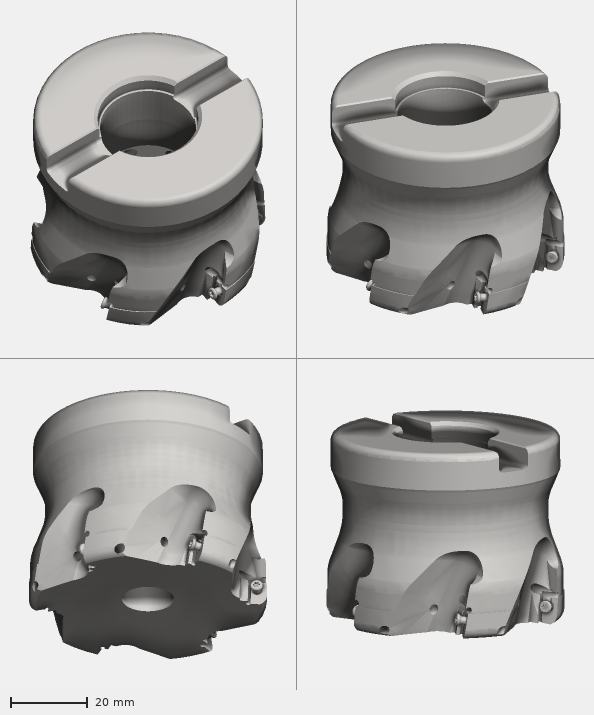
import cadquery as cq
import math


total_height = 49.2
cutting_diameter = 62.1
tip_angle = 2.7
dish_depth = 2.5
collar_radius = 30.0
collar_fillet = 2.0
collar_bottom_z = 39.65
collar_break = 0.3
collar_break_height = 0.6
upper_cone_z = 35.8
upper_cone_radius = 28.4
neck_radius = 26.9
neck_top_z = 29.65
neck_bottom_z = 27.65
lower_cone_top_z = 21.05
lower_cone_top_radius = 28.1
lower_cone_bottom_z = 14.85
lower_cone_bottom_radius = 30.4
skirt_top_z = 11.55
skirt_radius = 30.9
rim_top_z = 6.85
rim_radius = cutting_diameter / 2 / math.cos(math.radians(tip_angle))
rim_corner_z = 2.6
rim_bottom_radius = 29.3

bore_radius = 12.55
bore_chamfer = 1.0
mouth_radius = 13.2
mouth_depth = 4.4
relief_radius = 12.7
relief_top_z = 33.5
bore_floor_z = 23.0
through_radius = 6.85
through_chamfer = 0.3
slot_width = 9.45
slot_depth = 5.6
slot_fillet = 1.05
slot_edge_chamfer = 0.4

tooth_count = 6
tooth_pitch = 360 / tooth_count
flute_radius = 4.15
flute_undercut = 8.0
twist_length = 1.1
floor_corner = cq.Vector(24.2, 0, 19.8)
floor_up = cq.Vector(1.35, 7.7, 19.2)
floor_out = cq.Vector(5.6, -10.6, 0.9)
flute_length = 37.3
flute_width = 24.85
flute_depth = 24.85
touch_tolerance = 0.0005
lower_floor_out = cq.Vector(1.7, -19, 0)
wall_clearance = 0.1
wall_edge = (2.9, 17.4)
wall_turn = 28.0

seat_lean = 9.0
screw_place = (28.5, 1.8, 4.55)
seat_inner_radius = 26.2
seat_top = 3.2
seat_reach = 7.45
pocket_depth = 6.2
step_inner_radius = 24.15
step_offset = 1.55
top_groove_radius = 0.9
inner_groove_radius = 0.6
corner_relief_radius = 1.25
corner_relief_start = (-5.0, 4.8, 0.6)
corner_relief_end = (0.6, 3.7, 0.6)
shank_radius = 1.05
shank_length = 3.7
seat_bore_radius = 1.4
seat_bore_depth = 0.5
head_radius = 1.6
head_height = 2.55
head_rim = 0.6
head_cone = 0.6
head_edge = 0.25
socket_radius = 0.7
socket_lobe_radius = 0.25
socket_lobes = 6
socket_depth = 0.75

coolant_radius = 1.25
coolant_start = (11.0, -71.5, bore_floor_z)
coolant_exit = (24.4, -14.0, 6.6)
coolant_overrun = 1.85
nozzle_radius = 1.2
nozzle_place = (30.45, -38.7, 1.75)
nozzle_turn = 45.0
nozzle_depth = 7.45


def polar_point(radius, angle, height):
    turn = math.radians(angle)
    return cq.Vector(radius * math.cos(turn), radius * math.sin(turn), height)


def cylinder_between(start, end, radius):
    axis = end - start
    return cq.Workplane(cq.Solid.makeCylinder(radius, axis.Length, start, axis))


def arc_middle(start, end, start_slope):
    """Middle point of the arc that leaves `start` in the direction `start_slope`."""
    chord = (end[0] - start[0], end[1] - start[1])
    chord_angle = math.atan2(chord[1], chord[0])
    half_turn = (chord_angle - math.atan2(start_slope[1], start_slope[0])) / 2
    sagitta = math.hypot(*chord) / 2 * math.tan(half_turn)
    return (
        (start[0] + end[0]) / 2 + sagitta * math.sin(chord_angle),
        (start[1] + end[1]) / 2 - sagitta * math.cos(chord_angle),
    )


def turned_blank():
    neck_top = (neck_radius, neck_top_z)
    neck_bottom = (neck_radius, neck_bottom_z)
    upper_cone = (upper_cone_radius, upper_cone_z)
    lower_cone_top = (lower_cone_top_radius, lower_cone_top_z)
    lower_cone_bottom = (lower_cone_bottom_radius, lower_cone_bottom_z)
    skirt_top = (skirt_radius, skirt_top_z)
    rim_corner = (rim_radius, rim_corner_z)
    rim_bottom = (rim_bottom_radius, 0)
    up = (0, 1)
    down = (0, -1)
    return (
        cq.Workplane("XZ")
        .moveTo(0, dish_depth)
        .lineTo(through_radius, dish_depth)
        .lineTo(*rim_bottom)
        .threePointArc(arc_middle(rim_corner, rim_bottom, down), rim_corner)
        .lineTo(rim_radius, rim_top_z)
        .lineTo(skirt_radius, rim_top_z)
        .lineTo(*skirt_top)
        .threePointArc(arc_middle(skirt_top, lower_cone_bottom, up), lower_cone_bottom)
        .lineTo(*lower_cone_top)
        .threePointArc(arc_middle(neck_bottom, lower_cone_top, down), neck_bottom)
        .lineTo(*neck_top)
        .threePointArc(arc_middle(neck_top, upper_cone, up), upper_cone)
        .lineTo(collar_radius - collar_break, collar_bottom_z - collar_break_height)
        .lineTo(collar_radius, collar_bottom_z)
        .lineTo(collar_radius, total_height - collar_fillet)
        .radiusArc((collar_radius - collar_fillet, total_height), -collar_fillet)
        .lineTo(0, total_height)
        .close()
        .revolve(360, (0, 0), (0, 1))
    )


def bore():
    """Stepped bore with a chamfered mouth, a relief above its floor and a through hole."""
    return (
        cq.Workplane("XZ")
        .moveTo(0, 0)
        .lineTo(through_radius, 0)
        .lineTo(through_radius, bore_floor_z - through_chamfer)
        .lineTo(through_radius + through_chamfer, bore_floor_z)
        .lineTo(relief_radius, bore_floor_z)
        .lineTo(relief_radius, relief_top_z)
        .lineTo(bore_radius, relief_top_z)
        .lineTo(bore_radius, total_height - mouth_depth)
        .lineTo(mouth_radius, total_height - mouth_depth)
        .lineTo(mouth_radius, total_height - bore_chamfer)
        .lineTo(mouth_radius + bore_chamfer, total_height)
        .lineTo(0, total_height)
        .close()
        .revolve(360, (0, 0), (0, 1))
    )


def driving_slot():
    half = slot_width / 2
    floor_z = total_height - slot_depth
    return (
        cq.Workplane("XZ")
        .moveTo(-half - slot_edge_chamfer, total_height)
        .lineTo(-half, total_height - slot_edge_chamfer)
        .lineTo(-half, floor_z + slot_fillet)
        .radiusArc((-half + slot_fillet, floor_z), -slot_fillet)
        .lineTo(half - slot_fillet, floor_z)
        .radiusArc((half, floor_z + slot_fillet), -slot_fillet)
        .lineTo(half, total_height - slot_edge_chamfer)
        .lineTo(half + slot_edge_chamfer, total_height)
        .close()
        .extrude(rim_radius, both=True)
    )


def flute():
    """Slanted channel; one radius rounds its wall, upper end and corner, and its floor twists."""
    floor = cq.Plane(floor_corner, floor_up, floor_up.cross(floor_out))
    skew = floor_up.getAngle(floor_out) - math.pi / 2
    undercut = math.radians(flute_undercut)
    margin = flute_radius * math.tan((math.pi / 2 + undercut) / 2)

    def upper_end(across):
        return margin / math.cos(skew) - across * math.tan(skew)

    corner = (upper_end(-margin), -margin)
    outer = (upper_end(flute_width), flute_width)
    block = (
        cq.Workplane(floor)
        .polyline([corner, outer, (-flute_length, flute_width), (-flute_length, -margin)])
        .close()
        .extrude(flute_depth, taper=flute_undercut)
    )
    corner_vertex = cq.Vertex.makeVertex(*floor.toWorldCoords(corner).toTuple())
    corner_edges = [
        edge
        for edge in block.edges().vals()
        if edge.distance(corner_vertex) < touch_tolerance
    ]
    channel = block.newObject(corner_edges).fillet(flute_radius)

    ball_center = floor.toWorldCoords((0, 0, flute_radius))
    end_point = ball_center + cq.Vector(floor.zDir.x, floor.zDir.y, 0) * flute_depth
    rounded_end = cylinder_between(ball_center, end_point, flute_radius + wall_clearance)
    return channel.union(floor_twist()).cut(tooth_wall().cut(rounded_end))


def floor_twist():
    """Ruled wedge that turns the flute floor deeper and deeper towards the cutting end."""
    def section(corner, out):
        far = corner + out.normalized() * flute_width
        outside = corner + cq.Vector(flute_depth, 0, 0)
        return cq.Wire.makePolygon([corner, far, outside], close=True)

    lower_corner = floor_corner - floor_up * twist_length
    return cq.Workplane(
        cq.Solid.makeLoft(
            [section(lower_corner, lower_floor_out), section(floor_corner, floor_out)], True
        )
    )


def tooth_wall():
    """Metal in front of the seat that the flute leaves standing below its rounded end."""
    lean = math.radians(seat_lean)
    turn = math.radians(wall_turn)
    outwards = cq.Vector(math.cos(turn), -math.sin(turn), 0)
    upwards = cq.Vector(0, math.sin(lean), math.cos(lean))
    wall = cq.Plane((rim_radius, *wall_edge), outwards, outwards.cross(upwards))
    return (
        cq.Workplane(wall)
        .center(0, -flute_length / 2)
        .rect(flute_width, flute_length)
        .extrude(-flute_depth)
    )


def seat_plane():
    """Plane of the insert seat: x outwards, y up along the seat, normal out of the seat."""
    lean = math.radians(seat_lean)
    return cq.Plane(screw_place, (1, 0, 0), (0, -math.cos(lean), math.sin(lean)))


def insert_pocket():
    seat = seat_plane()
    inner = seat_inner_radius - screw_place[0]
    width = seat_reach - inner
    height = seat_top + seat_reach
    opening = (
        cq.Workplane(seat)
        .center(inner, -seat_reach)
        .rect(width, height, centered=False)
        .extrude(pocket_depth)
    )
    corner = seat.toWorldCoords((inner, seat_top))
    top_groove = cylinder_between(corner, seat.toWorldCoords((seat_reach, seat_top)), top_groove_radius)
    inner_groove = cylinder_between(corner, seat.toWorldCoords((inner, -seat_reach)), inner_groove_radius)
    corner_relief = cylinder_between(
        seat.toWorldCoords(corner_relief_start),
        seat.toWorldCoords(corner_relief_end),
        corner_relief_radius,
    )
    step = (
        cq.Workplane(seat)
        .workplane(offset=step_offset)
        .center(step_inner_radius - screw_place[0], -seat_reach)
        .rect(seat_reach, height, centered=False)
        .extrude(pocket_depth)
    )
    return opening.union(step).union(top_groove).union(inner_groove).union(corner_relief)


def screw_hole():
    seat = cq.Workplane(seat_plane())
    return seat.circle(shank_radius).extrude(-shank_length).union(
        seat.circle(seat_bore_radius).extrude(-seat_bore_depth)
    )


def screw():
    """Countersunk screw standing in the seat, with a lobed socket in its head."""
    seat = seat_plane()
    rim_z = head_height - head_rim
    turned = (
        cq.Workplane("XZ")
        .moveTo(0, -shank_length)
        .lineTo(shank_radius, -shank_length)
        .lineTo(shank_radius, rim_z - head_cone)
        .lineTo(head_radius, rim_z)
        .lineTo(head_radius, head_height - head_edge)
        .lineTo(head_radius - head_edge, head_height)
        .lineTo(0, head_height)
        .close()
        .revolve(360, (0, 0), (0, 1))
    )
    top = cq.Workplane("XY").workplane(offset=head_height)
    socket = top.circle(socket_radius).extrude(-socket_depth)
    lobes = (
        top.polarArray(socket_radius, 0, 360, socket_lobes)
        .circle(socket_lobe_radius)
        .extrude(-socket_depth)
    )
    return cq.Workplane(turned.cut(socket).cut(lobes).val().moved(cq.Location(seat)))


def coolant_hole():
    start = polar_point(*coolant_start)
    exit_point = polar_point(*coolant_exit)
    overrun = (exit_point - start).normalized() * coolant_overrun
    return cylinder_between(start - overrun, exit_point + overrun, coolant_radius)


def nozzle_hole():
    """Blind hole that opens at the bottom corner behind the tooth."""
    place = polar_point(*nozzle_place)
    outward = polar_point(1, nozzle_place[1] + nozzle_turn, 0)
    return cylinder_between(place - outward * nozzle_depth, place + outward * nozzle_depth, nozzle_radius)


def at_tooth(shape, tooth):
    return shape.rotate((0, 0, 0), (0, 0, 1), tooth * tooth_pitch)


body = turned_blank().cut(bore()).cut(driving_slot())
tooth_cuts = [flute(), insert_pocket(), screw_hole(), coolant_hole(), nozzle_hole()]
for tooth in range(tooth_count):
    for cut in tooth_cuts:
        body = body.cut(at_tooth(cut, tooth))

screws = [at_tooth(screw(), tooth).solids().val() for tooth in range(tooth_count)]

result = cq.Compound.makeCompound([body.solids().val(), *screws])